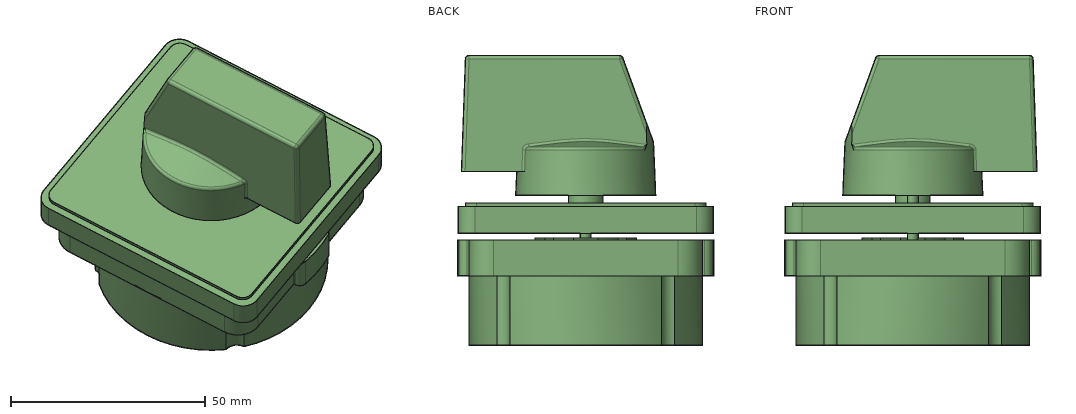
import cadquery as cq
import math


BODY_RADIUS = 30.05
BODY_HEIGHT = 17.9
GROOVE_RADIUS = 3.35
GROOVE_CENTER_DISTANCE = 32.4
FLANGE_THICKNESS = 9.25
FLANGE_WIDTH = 2 * BODY_RADIUS
FLANGE_CORNER_RADIUS = 6.3
FLANGE_TOP = BODY_HEIGHT + FLANGE_THICKNESS
TAB_RADIUS = 33.0
TAB_WIDTH = 14.2
TAB_CORNER_RADIUS = 2.0
PAD_HEIGHT = 0.5
PAD_SLOT_WIDTH = 5.3
PAD_WIDE_RADIUS = 13.35
PAD_WIDE_DEPTH = 16.4
PAD_RADIUS = 11.6
PAD_DEPTH = 22.4

PLATE_BOTTOM = 28.8
PLATE_WIDTH = 65.6
PLATE_THICKNESS = 6.9
PLATE_CORNER_RADIUS = 4.3
PANEL_WIDTH = 61.9
PANEL_THICKNESS = 0.9
PANEL_CORNER_RADIUS = 2.9
PLATE_TOP = PLATE_BOTTOM + PLATE_THICKNESS + PANEL_THICKNESS

KNOB_TOP = 74.6
KNOB_BOTTOM = 38.55
DISC_RADIUS = 18.05
DISC_TAPER = 2.5
DISC_EDGE_Z = 50.95
CROWN_APEX_Z = 53.8
GRIP_BOTTOM = 44.7
GRIP_WIDTH = 15.8
GRIP_END_X = 32.0
GRIP_DRAFT = 2.0
SLOPE_TOP_X = -9.3
SLOPE_ANGLE = 20.0
GRIP_EDGE_RADIUS = 1.0
KNOB_BLEND_RADIUS = 0.8
STEM_RADIUS = 4.5
PIN_RADIUS = 1.4
PIN_Y = -10.9


def cylinder(radius, bottom, height):
    """Upright cylinder on the Z axis."""
    return cq.Workplane("XY").workplane(offset=bottom).circle(radius).extrude(height)


def block(length, width, bottom, height):
    """Upright rectangular block centred on the Z axis."""
    return cq.Workplane("XY").workplane(offset=bottom).rect(length, width).extrude(height)


def make_tabs():
    """Bar across the flange whose two rounded ends form the side tabs."""
    disc = cylinder(TAB_RADIUS, BODY_HEIGHT, FLANGE_THICKNESS)
    bar = block(2 * PLATE_WIDTH, TAB_WIDTH, BODY_HEIGHT, FLANGE_THICKNESS)
    return disc.intersect(bar).edges("|Z").fillet(TAB_CORNER_RADIUS)


def make_pads():
    """Low stepped disc on the flange, split in two by a slot along X."""
    wide = cylinder(PAD_WIDE_RADIUS, FLANGE_TOP, PAD_HEIGHT).intersect(
        block(2 * PAD_WIDE_RADIUS, PAD_WIDE_DEPTH, FLANGE_TOP, PAD_HEIGHT))
    deep = cylinder(PAD_RADIUS, FLANGE_TOP, PAD_HEIGHT).intersect(
        block(2 * PAD_RADIUS, PAD_DEPTH, FLANGE_TOP, PAD_HEIGHT))
    slot = block(2 * PLATE_WIDTH, PAD_SLOT_WIDTH, FLANGE_TOP, PAD_HEIGHT)
    return wide.union(deep).cut(slot)


def make_pin(bottom, top):
    """Stretch of the off-axis knob pin between two heights."""
    return cylinder(PIN_RADIUS, bottom, top - bottom).translate((0, PIN_Y, 0))


def make_base():
    """Round body with four corner grooves under a square tabbed flange."""
    groove_count = 4
    first_groove_angle = 45
    grooves = (
        cq.Workplane("XY")
        .polarArray(GROOVE_CENTER_DISTANCE, first_groove_angle, 360, groove_count)
        .circle(GROOVE_RADIUS)
        .extrude(BODY_HEIGHT)
    )
    body = cylinder(BODY_RADIUS, 0, BODY_HEIGHT).cut(grooves)
    flange = (
        block(FLANGE_WIDTH, FLANGE_WIDTH, BODY_HEIGHT, FLANGE_THICKNESS)
        .edges("|Z").fillet(FLANGE_CORNER_RADIUS)
    )
    pads = make_pads().cut(make_pin(FLANGE_TOP, PLATE_BOTTOM))
    return body.union(flange).union(make_tabs()).union(pads)


def make_plate():
    """Rounded square slab with its raised panel and the pin hole."""
    slab = (
        block(PLATE_WIDTH, PLATE_WIDTH, PLATE_BOTTOM, PLATE_THICKNESS)
        .edges("|Z").fillet(PLATE_CORNER_RADIUS)
    )
    panel = (
        block(PANEL_WIDTH, PANEL_WIDTH, PLATE_BOTTOM + PLATE_THICKNESS, PANEL_THICKNESS)
        .edges("|Z").fillet(PANEL_CORNER_RADIUS)
    )
    return slab.union(panel).cut(make_pin(PLATE_BOTTOM, PLATE_TOP))


def disc_radius_at(z):
    """Radius of the tapered disc side at height z."""
    return DISC_RADIUS - (z - KNOB_BOTTOM) * math.tan(math.radians(DISC_TAPER))


def make_disc():
    """Tapered disc closed by a shallow conical crown."""
    return (
        cq.Workplane("XZ")
        .moveTo(0, KNOB_BOTTOM)
        .lineTo(DISC_RADIUS, KNOB_BOTTOM)
        .lineTo(disc_radius_at(DISC_EDGE_Z), DISC_EDGE_Z)
        .lineTo(0, CROWN_APEX_Z)
        .close()
        .revolve(360, (0, 0), (0, 1))
    )


def make_grip():
    """Drafted grip: its -X end slopes and then follows the disc side, its +X end overhangs."""
    height = KNOB_TOP - GRIP_BOTTOM
    slope_run = height * math.tan(math.radians(SLOPE_ANGLE))
    end_run = height * math.tan(math.radians(GRIP_DRAFT))
    bar = (
        cq.Workplane("XY").workplane(offset=GRIP_BOTTOM)
        .rect(2 * PLATE_WIDTH, GRIP_WIDTH)
        .extrude(height, taper=GRIP_DRAFT)
    )
    side_outline = (
        cq.Workplane("XZ")
        .polyline([
            (SLOPE_TOP_X - slope_run, GRIP_BOTTOM),
            (GRIP_END_X, GRIP_BOTTOM),
            (GRIP_END_X - end_run, KNOB_TOP),
            (SLOPE_TOP_X, KNOB_TOP),
        ])
        .close()
        .extrude(GRIP_WIDTH, both=True)
    )
    grip = bar.intersect(side_outline).edges("not <Z").fillet(GRIP_EDGE_RADIUS)
    disc_column = (
        cq.Workplane("XY").workplane(offset=KNOB_BOTTOM)
        .circle(DISC_RADIUS)
        .extrude(KNOB_TOP - KNOB_BOTTOM, taper=DISC_TAPER)
    )
    overhang_half = (
        block(PLATE_WIDTH, PLATE_WIDTH, GRIP_BOTTOM, height)
        .translate((PLATE_WIDTH / 2, 0, 0))
    )
    return grip.intersect(disc_column.union(overhang_half))


def make_knob():
    """Blended disc and grip, with the stem on the plate and the pin through it."""
    head = make_disc().union(make_grip())
    blend_zone = cq.selectors.BoxSelector(
        (-STEM_RADIUS, -DISC_RADIUS, GRIP_BOTTOM + KNOB_BLEND_RADIUS),
        (DISC_RADIUS, DISC_RADIUS, CROWN_APEX_Z),
    )
    head = head.edges(blend_zone).fillet(KNOB_BLEND_RADIUS)
    stem = cylinder(STEM_RADIUS, PLATE_TOP, KNOB_BOTTOM - PLATE_TOP)
    return head.union(stem).union(make_pin(FLANGE_TOP, KNOB_BOTTOM))


base = make_base()
plate = make_plate()
knob = make_knob()

result = cq.Compound.makeCompound([base.val(), plate.val(), knob.val()])